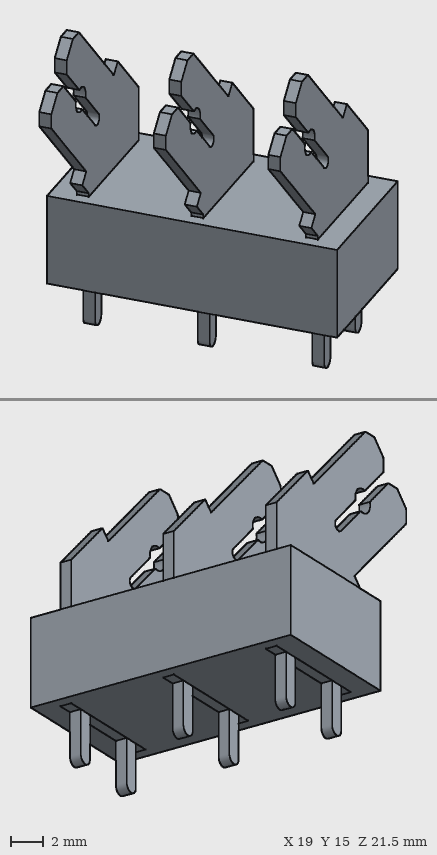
import cadquery as cq
import math


housing_length = 19.0
housing_depth = 9.8
housing_height = 6.0

terminal_count = 3
terminal_pitch = 7.5
terminal_thickness = 0.8

plate_width = 8.1
half_plate = plate_width / 2
bend_angle = 45
bend_height = 1.91
bend_z = housing_height + bend_height
miter_rise = half_plate * math.tan(math.radians(bend_angle / 2))

tab_width = 6.3
half_tab = tab_width / 2
shoulder_distance = 3.15
tip_distance = 11.82
tip_chamfer = 0.69
chamfer_start = tip_distance - tip_chamfer

slot_width = 0.75
half_slot = slot_width / 2
slot_end_distance = 3.85
relief_distance = 7.57
relief_radius = 0.8

pin_width = 1.0
pin_radius = pin_width / 2
pin_spacing = 5.0
pin_length = 3.48


def tab_point(along, across):
    """(Y, Z) of a point on the tilted tab, from its distances along and across the centreline."""
    sine = math.sin(math.radians(bend_angle))
    cosine = math.cos(math.radians(bend_angle))
    return (across * cosine - along * sine, bend_z + across * sine + along * cosine)


def make_plate():
    """Upright plate and tilted tab, before the slot is cut; centred on X = 0."""
    outline = [
        (half_plate, 0),
        (half_plate, bend_z + miter_rise),
        tab_point(shoulder_distance, half_plate),
        tab_point(shoulder_distance, half_tab),
        tab_point(chamfer_start, half_tab),
        tab_point(tip_distance, half_tab - tip_chamfer),
        tab_point(tip_distance, half_slot + tip_chamfer),
        tab_point(chamfer_start, half_slot),
        tab_point(chamfer_start, -half_slot),
        tab_point(tip_distance, -half_slot - tip_chamfer),
        tab_point(tip_distance, -half_tab + tip_chamfer),
        tab_point(chamfer_start, -half_tab),
        tab_point(shoulder_distance, -half_tab),
        tab_point(shoulder_distance, -half_plate),
        (-half_plate, bend_z - miter_rise),
        (-half_plate, 0),
    ]
    return cq.Workplane("YZ").polyline(outline).close().extrude(terminal_thickness / 2, both=True)


def make_slot_cutter():
    """Round-ended slot, open at the tip, joined to its relief hole."""
    slot = (
        cq.Workplane("YZ")
        .moveTo(*tab_point(slot_end_distance, half_slot))
        .lineTo(*tab_point(tip_distance, half_slot))
        .lineTo(*tab_point(tip_distance, -half_slot))
        .lineTo(*tab_point(slot_end_distance, -half_slot))
        .threePointArc(
            tab_point(slot_end_distance - half_slot, 0),
            tab_point(slot_end_distance, half_slot),
        )
        .close()
        .extrude(terminal_thickness, both=True)
    )
    relief = (
        cq.Workplane("YZ")
        .center(*tab_point(relief_distance, 0))
        .circle(relief_radius)
        .extrude(terminal_thickness, both=True)
    )
    return slot.union(relief)


def make_pin(pin_y):
    """Solder pin that hangs from the plate's lower edge and ends in a half circle."""
    round_start_z = pin_radius - pin_length
    return (
        cq.Workplane("YZ")
        .moveTo(pin_y + pin_radius, 0)
        .lineTo(pin_y + pin_radius, round_start_z)
        .threePointArc((pin_y, -pin_length), (pin_y - pin_radius, round_start_z))
        .lineTo(pin_y - pin_radius, 0)
        .close()
        .extrude(terminal_thickness / 2, both=True)
    )


def make_terminal(terminal_x):
    """One complete terminal: plate, forked tab and two solder pins."""
    terminal = make_plate().cut(make_slot_cutter())
    for pin_y in (-pin_spacing / 2, pin_spacing / 2):
        terminal = terminal.union(make_pin(pin_y))
    return terminal.translate((terminal_x, 0, 0))


def make_housing(slot_positions):
    """Block with one through slot for each terminal plate."""
    block = cq.Workplane("XY").box(
        housing_length, housing_depth, housing_height, centered=(True, True, False)
    )
    plate_slots = (
        cq.Workplane("XY")
        .pushPoints([(slot_x, 0) for slot_x in slot_positions])
        .rect(terminal_thickness, plate_width)
        .extrude(housing_height)
    )
    return block.cut(plate_slots)


terminal_positions = [
    (index - (terminal_count - 1) / 2) * terminal_pitch for index in range(terminal_count)
]

housing = make_housing(terminal_positions)
terminals = [make_terminal(terminal_x) for terminal_x in terminal_positions]

result = cq.Compound.makeCompound(
    [housing.solids().val(), *[terminal.solids().val() for terminal in terminals]]
)